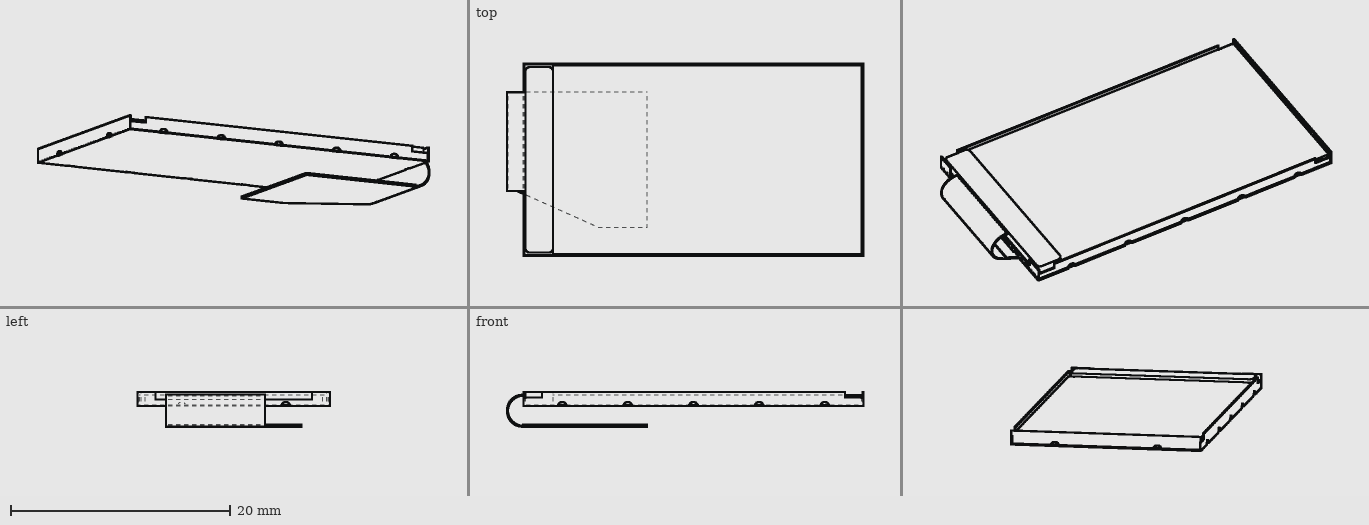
import cadquery as cq

length = 32.5
width = 17.55
height = 3.2

frame_length = 31.0
frame_height = 1.3
wall = 0.1
gap = 0.1
frame_left = length - frame_length
frame_middle = frame_left + frame_length / 2
frame_bottom = height - frame_height
tray_floor = frame_bottom + wall

glass_top = 2.9
strip_length = 2.5
strip_side_gap = 0.13
strip_corner_diameter = 0.75
panel_inset = wall + gap
panel_left = frame_left + panel_inset
strip_right = panel_left + strip_length

corner_notch_length = 1.7
side_notch_floor = 2.65
end_notch_floor = 2.47
end_notch_width = 14.23

opening_diameter = 0.75
side_opening_count = 5
side_opening_pitch = 5.98
end_opening_pitch = 9.5

cable_thickness = 0.1
tail_thickness = 0.2
bend_radius = 1.45
bend_top = 2 * bend_radius
cable_back = 6.17
cable_front = -2.85
tail_front = -cable_back
flare_start = 0.97
flare_end = 8.38
tail_end = 12.77


def block(x_start, x_end, y_start, y_end, z_start, z_end):
    """Box given by its limits along each axis."""
    return cq.Workplane("XY").box(
        x_end - x_start, y_end - y_start, z_end - z_start, centered=False
    ).translate((x_start, y_start, z_start))


def centred_block(x_start, x_end, y_size, z_start, z_end):
    """Box that straddles the XZ plane evenly."""
    return block(x_start, x_end, -y_size / 2, y_size / 2, z_start, z_end)


def make_tray():
    tray = centred_block(frame_left, length, width, frame_bottom, height)
    pocket = centred_block(frame_left + wall, length - wall, width - 2 * wall, tray_floor, height)
    tray = tray.cut(pocket)

    for x_start, x_end in (
        (frame_left + wall, frame_left + corner_notch_length),
        (length - corner_notch_length, length - wall),
    ):
        tray = tray.cut(centred_block(x_start, x_end, width, side_notch_floor, height))

    return tray.cut(centred_block(frame_left, frame_left + wall, end_notch_width, end_notch_floor, height))


def make_panel():
    panel_right = length - panel_inset
    panel_width = width - 2 * panel_inset
    strip_width = panel_width - 2 * strip_side_gap
    glass = centred_block(strip_right, panel_right, panel_width, tray_floor, glass_top)
    strip = centred_block(panel_left, strip_right, strip_width, tray_floor, height)
    return strip.edges("|Z").fillet(strip_corner_diameter / 2).union(glass)


def make_wall_openings():
    """Half-round cutters, one wall thickness deep, on all four walls."""
    openings = cq.Workplane("XY")
    radius = opening_diameter / 2
    for index in range(side_opening_count):
        x = frame_middle + (index - (side_opening_count - 1) / 2) * side_opening_pitch
        for y in (-width / 2, width / 2 - wall):
            openings = openings.add(
                cq.Solid.makeCylinder(radius, wall, cq.Vector(x, y, frame_bottom), cq.Vector(0, 1, 0))
            )
    for x in (frame_left, length - wall):
        for y in (-end_opening_pitch / 2, end_opening_pitch / 2):
            openings = openings.add(
                cq.Solid.makeCylinder(radius, wall, cq.Vector(x, y, frame_bottom), cq.Vector(1, 0, 0))
            )
    return openings.combine()


def make_cable():
    profile = (
        cq.Workplane("XZ", origin=(0, cable_back, 0))
        .moveTo(panel_left, bend_top)
        .lineTo(bend_radius, bend_top)
        .threePointArc((0, bend_radius), (bend_radius, 0))
        .lineTo(tail_end, 0)
        .lineTo(tail_end, tail_thickness)
        .lineTo(bend_radius, tail_thickness)
        .lineTo(bend_radius, cable_thickness)
        .threePointArc((cable_thickness, bend_radius), (bend_radius, bend_top - cable_thickness))
        .lineTo(panel_left, bend_top - cable_thickness)
        .close()
        .extrude(cable_back - tail_front)
    )
    upper_half = block(0, panel_left, cable_front, cable_back, bend_radius, bend_top)
    lower_half = (
        cq.Workplane("XY")
        .polyline([
            (0, cable_back),
            (0, cable_front),
            (flare_start, cable_front),
            (flare_end, tail_front),
            (tail_end, tail_front),
            (tail_end, cable_back),
        ])
        .close()
        .extrude(bend_radius)
    )
    return profile.intersect(upper_half.union(lower_half))


result = make_tray().cut(make_wall_openings()).union(make_panel()).union(make_cable())